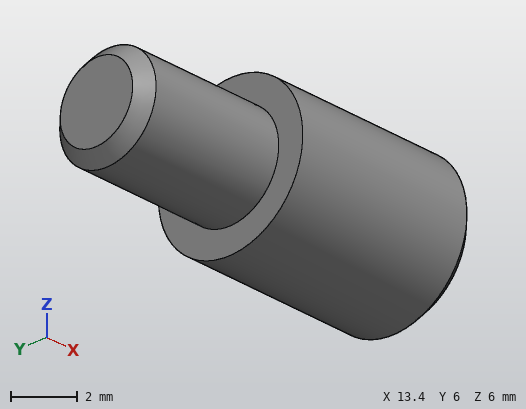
import cadquery as cq

total_length = 13.4
body_diameter = 6.0
pin_diameter = 4.0
pin_length = 5.8
end_chamfer = 0.5

body_length = total_length - pin_length


def pin():
    """Narrow cylinder with a chamfered free end."""
    cylinder = cq.Workplane("YZ").circle(pin_diameter / 2).extrude(pin_length)
    return cylinder.faces("<X").chamfer(end_chamfer)


def body():
    """Wide cylinder beyond the shoulder, chamfered at its far end."""
    cylinder = (
        cq.Workplane("YZ", origin=(pin_length, 0, 0))
        .circle(body_diameter / 2)
        .extrude(body_length)
    )
    return cylinder.faces(">X").chamfer(end_chamfer)


result = pin().union(body())